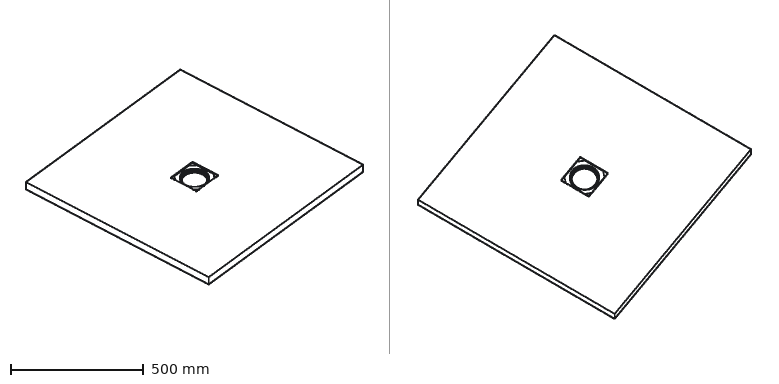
import cadquery as cq
import math

side = 900.0
height = 35.0
dish_drop = 16.0
dish_bottom = height - dish_drop

surface_margin = 18.0
surface_steps = 26
surface_tolerance = 0.001

recess_side = 127.0
recess_depth = 4.5
corner_leg = 22.5
corner_ledge_depth = 3.0
recess_floor = dish_bottom - recess_depth

seat_diameter = 111.0
outlet_diameter = 95.0
middle_diameter = (seat_diameter + outlet_diameter) / 2
step_depth = 4.5


def top_height(x, y):
    """Height of the smooth dish: level at the tray edges and lowest at the centre."""
    fall = math.cos(math.pi * x / side) ** 2 * math.cos(math.pi * y / side) ** 2
    return height - dish_drop * fall


def make_tray():
    """Square slab with a smoothly dished top and its base at Z = 0."""
    half_span = side / 2 + surface_margin
    step = 2 * half_span / surface_steps
    stations = [-half_span + i * step for i in range(surface_steps + 1)]
    points = [[cq.Vector(x, y, top_height(x, y)) for y in stations] for x in stations]
    top_face = cq.Face.makeSplineApprox(points, tol=surface_tolerance, maxDeg=5)
    below_top = cq.Solid.extrudeLinear(top_face, cq.Vector(0, 0, -2 * height))
    slab = cq.Workplane("XY").box(side, side, 2 * height, centered=(True, True, False))
    return slab.intersect(cq.Workplane(obj=below_top))


def make_recess():
    """Square recess whose corners stop short of the floor to leave triangular ledges."""
    upper = (
        cq.Workplane("XY", origin=(0, 0, dish_bottom - corner_ledge_depth))
        .rect(recess_side, recess_side)
        .extrude(height)
    )
    lower = (
        cq.Workplane("XY", origin=(0, 0, recess_floor))
        .rect(recess_side, recess_side)
        .extrude(recess_depth)
        .edges("|Z")
        .chamfer(corner_leg)
    )
    return upper.union(lower)


def make_drain():
    """Stepped round opening through the recess floor."""
    bottoms = (
        (seat_diameter, recess_floor - step_depth),
        (middle_diameter, recess_floor - 2 * step_depth),
        (outlet_diameter, 0),
    )
    drain = cq.Workplane("XY")
    for diameter, bottom in bottoms:
        cylinder = (
            cq.Workplane("XY", origin=(0, 0, bottom))
            .circle(diameter / 2)
            .extrude(recess_floor - bottom)
        )
        drain = drain.union(cylinder)
    return drain


result = make_tray().cut(make_recess()).cut(make_drain())